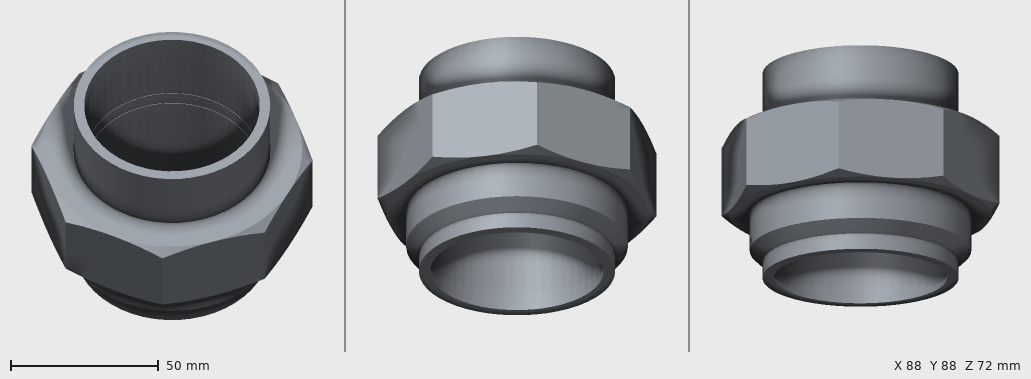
import cadquery as cq
import math

ACROSS_FLATS = 88.0
TOTAL_HEIGHT = 72.0
NUT_SIDES = 8
NUT_BOTTOM = 22.2
NUT_TOP = 49.8
CORNER_DROP = 2.0

TUBE_RADIUS = 33.2
BODY_RADIUS = 37.5
TAIL_BORE_RADIUS = 29.7
RING_BORE_RADIUS = 29.5
BODY_BORE_RADIUS = 29.3
COLLAR_CLEARANCE = 0.2

CONE_BOTTOM = 5.5
CONE_TOP = 9.6
BODY_TOP = 39.95
SEAL_TOP = 41.5
FLANGE_TOP = 44.8

NUT_INRADIUS = ACROSS_FLATS / 2
NUT_CORNER_RADIUS = NUT_INRADIUS / math.cos(math.pi / NUT_SIDES)


def revolve(profile):
    """Turn a closed (radius, height) outline about the Z axis."""
    return cq.Workplane("XZ").polyline(profile).close().revolve(360, (0, 0), (0, 1))


def make_body():
    """Lower threaded body with a cone leading down to its pipe end."""
    return revolve([
        (BODY_BORE_RADIUS, 0),
        (TUBE_RADIUS, 0),
        (TUBE_RADIUS, CONE_BOTTOM),
        (BODY_RADIUS, CONE_TOP),
        (BODY_RADIUS, BODY_TOP),
        (BODY_BORE_RADIUS, BODY_TOP),
    ])


def make_seal():
    """Flat ring clamped between the lower body and the tailpiece flange."""
    return revolve([
        (RING_BORE_RADIUS, BODY_TOP),
        (BODY_RADIUS, BODY_TOP),
        (BODY_RADIUS, SEAL_TOP),
        (RING_BORE_RADIUS, SEAL_TOP),
    ])


def make_tailpiece():
    """Upper tube with a flange at its foot, where the bore steps in slightly."""
    return revolve([
        (RING_BORE_RADIUS, SEAL_TOP),
        (BODY_RADIUS, SEAL_TOP),
        (BODY_RADIUS, FLANGE_TOP),
        (TUBE_RADIUS, FLANGE_TOP),
        (TUBE_RADIUS, TOTAL_HEIGHT),
        (TAIL_BORE_RADIUS, TOTAL_HEIGHT),
        (TAIL_BORE_RADIUS, FLANGE_TOP),
        (RING_BORE_RADIUS, FLANGE_TOP),
    ])


def make_nut():
    """Octagonal union nut: chamfered corners, threaded bore and a top collar."""
    blank = (
        cq.Workplane("XY", origin=(0, 0, NUT_BOTTOM))
        .transformed(rotate=(0, 0, 180 / NUT_SIDES))
        .polygon(NUT_SIDES, 2 * NUT_CORNER_RADIUS)
        .extrude(NUT_TOP - NUT_BOTTOM)
    )
    collar_radius = TUBE_RADIUS + COLLAR_CLEARANCE
    turned_shape = revolve([
        (BODY_RADIUS, NUT_BOTTOM),
        (NUT_INRADIUS, NUT_BOTTOM),
        (NUT_CORNER_RADIUS, NUT_BOTTOM + CORNER_DROP),
        (NUT_CORNER_RADIUS, NUT_TOP - CORNER_DROP),
        (NUT_INRADIUS, NUT_TOP),
        (collar_radius, NUT_TOP),
        (collar_radius, FLANGE_TOP),
        (BODY_RADIUS, FLANGE_TOP),
    ])
    return blank.intersect(turned_shape)


body = make_body()
seal = make_seal()
tailpiece = make_tailpiece()
nut = make_nut()

result = cq.Compound.makeCompound([body.val(), seal.val(), tailpiece.val(), nut.val()])